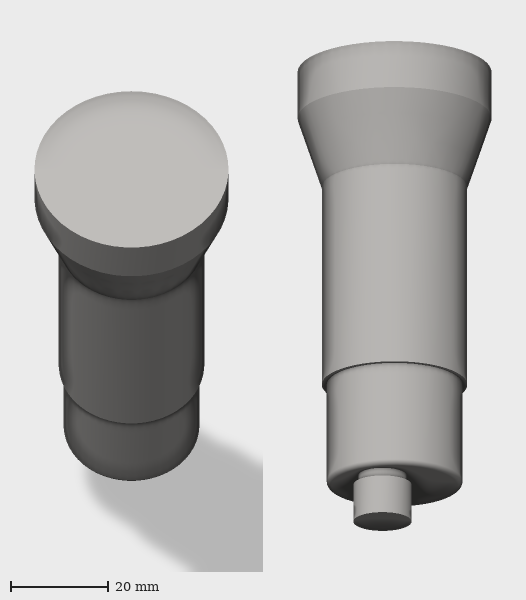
import cadquery as cq

HEAD_HEIGHT = 10.0
TAPER_HEIGHT = 15.0
BODY_HEIGHT = 43.0
BASE_HEIGHT = 22.0
NECK_HEIGHT = 2.0
PLUG_HEIGHT = 8.0

HEAD_DIAMETER = 40.0
BODY_DIAMETER = 30.0
BASE_DIAMETER = 28.0
NECK_DIAMETER = 10.0
PLUG_DIAMETER = 12.0

BASE_EDGE_RADIUS = 1.0
PLUG_OFFSET_Y = 7.0

neck_bottom = PLUG_HEIGHT
base_bottom = neck_bottom + NECK_HEIGHT
body_bottom = base_bottom + BASE_HEIGHT
taper_bottom = body_bottom + BODY_HEIGHT
head_bottom = taper_bottom + TAPER_HEIGHT


def cylinder(diameter, height, bottom, offset_y=0.0):
    """Vertical cylinder standing on the level `bottom`."""
    return cq.Workplane("XY", origin=(0, offset_y, bottom)).circle(diameter / 2).extrude(height)


def make_base():
    """Reduced lower stage with a rounded bottom rim."""
    return cylinder(BASE_DIAMETER, BASE_HEIGHT, base_bottom).faces("<Z").edges().fillet(BASE_EDGE_RADIUS)


def make_taper():
    """Cone widening from the body up to the head."""
    return (
        cq.Workplane("XY", origin=(0, 0, taper_bottom))
        .circle(BODY_DIAMETER / 2)
        .workplane(offset=TAPER_HEIGHT)
        .circle(HEAD_DIAMETER / 2)
        .loft(ruled=True)
    )


def make_handle():
    """Coaxial stages: base, body, taper and head."""
    body = cylinder(BODY_DIAMETER, BODY_HEIGHT, body_bottom)
    head = cylinder(HEAD_DIAMETER, HEAD_HEIGHT, head_bottom)
    return make_base().union(body).union(make_taper()).union(head)


def make_plug():
    """Off-axis plug hanging below the base on a narrower neck."""
    plug = cylinder(PLUG_DIAMETER, PLUG_HEIGHT, 0.0, PLUG_OFFSET_Y)
    neck = cylinder(NECK_DIAMETER, NECK_HEIGHT, neck_bottom, PLUG_OFFSET_Y)
    return plug.union(neck)


result = make_handle().union(make_plug())